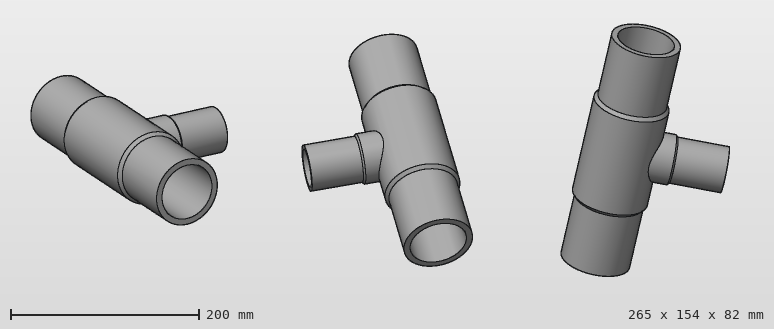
import cadquery as cq

run_length = 265.0
run_diameter = 75.0
run_bore = 61.5

body_diameter = 82.0
body_length = 120.5
body_chamfer_length = 4.0
body_chamfer_depth = (body_diameter - run_diameter) / 2

overall_width = 154.0
branch_reach = overall_width - body_diameter / 2
branch_diameter = 50.0
branch_bore = 40.8

collar_diameter = 54.5
collar_reach = 57.2
collar_chamfer_length = 2.0
collar_chamfer_depth = (collar_diameter - branch_diameter) / 2


def turned(points):
    """Revolve a (distance along axis, radius) outline about the X axis."""
    return cq.Workplane("XY").polyline(points).close().revolve(360, (0, 0, 0), (1, 0, 0))


def run_cylinder(diameter, length):
    """Cylinder along X, centred on the origin."""
    return cq.Workplane("YZ").circle(diameter / 2).extrude(length / 2, both=True)


def branch_cylinder(diameter, length):
    """Cylinder from the run axis along +Y."""
    return cq.Workplane("XZ").circle(diameter / 2).extrude(-length)


def bevelled_body():
    """Body with a conical bevel at each end."""
    end = body_length / 2
    shoulder = end - body_chamfer_length
    radius = body_diameter / 2
    end_radius = radius - body_chamfer_depth
    return turned([
        (-end, 0),
        (-end, end_radius),
        (-shoulder, radius),
        (shoulder, radius),
        (end, end_radius),
        (end, 0),
    ])


def bevelled_collar():
    """Branch collar with a conical bevel down to the branch pipe."""
    radius = collar_diameter / 2
    collar = turned([
        (0, 0),
        (0, radius),
        (collar_reach - collar_chamfer_length, radius),
        (collar_reach, radius - collar_chamfer_depth),
        (collar_reach, 0),
    ])
    return collar.rotate((0, 0, 0), (0, 0, 1), 90)


outside = (
    run_cylinder(run_diameter, run_length)
    .union(bevelled_body())
    .union(branch_cylinder(branch_diameter, branch_reach))
    .union(bevelled_collar())
)

result = (
    outside
    .cut(run_cylinder(run_bore, run_length))
    .cut(branch_cylinder(branch_bore, branch_reach))
)